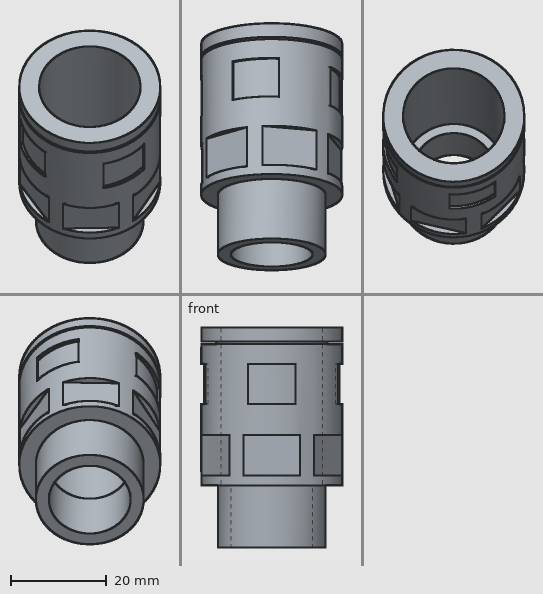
import cadquery as cq

total_height = 46.0
body_diameter = 29.5

spigot_top = 13.0
body_top = 42.5
flange_bottom = 43.0

spigot_diameter = 22.55
neck_diameter = 23.28
socket_diameter = 21.15
bore_diameter = 17.05

hex_sides = 6
hex_across_flats = 27.05
hex_rotation = 30
hex_bottom = 15.05
hex_top = 23.55

recess_count = 4
recess_width = 10.0
recess_bottom = 30.0
recess_top = 38.4
recess_floor_diameter = 28.35


def cylinder(diameter, bottom, top):
    """Upright cylinder about the Z axis between two heights."""
    return cq.Workplane("XY").workplane(offset=bottom).circle(diameter / 2).extrude(top - bottom)


def wrench_flats():
    """Material outside the hexagon, whose flats include the +Y and -Y sides."""
    height = hex_top - hex_bottom
    hexagon = (
        cq.Workplane("XY")
        .workplane(offset=hex_bottom)
        .polygon(hex_sides, hex_across_flats, circumscribed=True)
        .extrude(height)
        .rotate((0, 0, 0), (0, 0, 1), hex_rotation)
    )
    return cylinder(2 * body_diameter, hex_bottom, hex_top).cut(hexagon)


def recess(angle):
    """Rectangular window with a cylindrical floor, turned about the Z axis."""
    height = recess_top - recess_bottom
    window = (
        cq.Workplane("XY")
        .box(body_diameter, recess_width, height, centered=(False, True, False))
        .translate((0, 0, recess_bottom))
        .cut(cylinder(recess_floor_diameter, recess_bottom, recess_top))
    )
    return window.rotate((0, 0, 0), (0, 0, 1), angle)


result = cylinder(spigot_diameter, 0, spigot_top)
result = result.union(cylinder(body_diameter, spigot_top, body_top))
result = result.union(cylinder(neck_diameter, body_top, flange_bottom))
result = result.union(cylinder(body_diameter, flange_bottom, total_height))

result = result.cut(wrench_flats())
for index in range(recess_count):
    result = result.cut(recess(index * 360 / recess_count))

result = result.cut(cylinder(bore_diameter, 0, total_height))
result = result.cut(cylinder(socket_diameter, spigot_top, total_height))